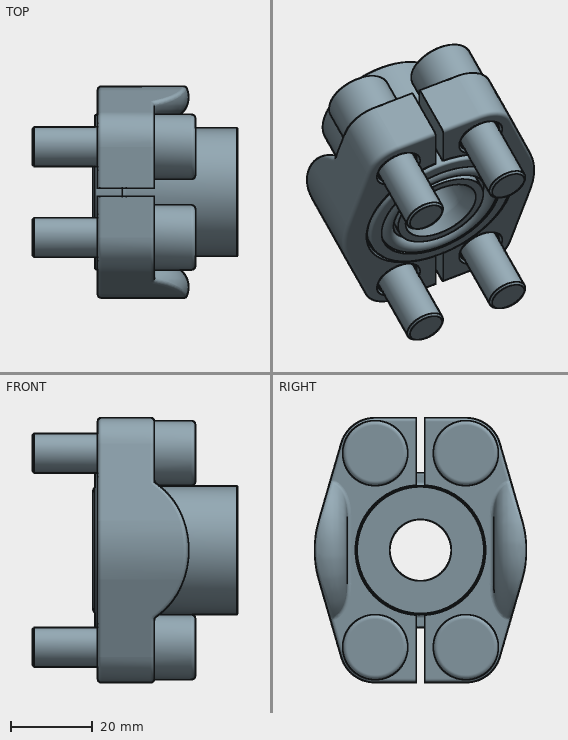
import cadquery as cq
import math


bolt_y = 11.1
bolt_z = 23.8

clamp_height = 65.0
clamp_width = 52.0
clamp_thickness = 14.0
rim_fillet = 1.0
split_gap = 2.0

shoulder_axis_x = 0.8
shoulder_radius = 21.65
shoulder_crest_y = 23.3
shoulder_round = 5.3
shoulder_foot_fillet = 1.0

disc_diameter = 38.1
disc_front_x = -0.65
disc_back_x = 6.1
disc_edge_fillet = 0.5
hub_diameter = 31.6
hub_end_x = 34.4
hub_end_chamfer = 0.25
neck_fillet = 0.9
bore_diameter = 15.0
bore_mouth_diameter = 19.05
bore_mouth_depth = 3.5
bore_mouth_fillet = 1.55

groove_outer_diameter = 32.0
groove_inner_diameter = 23.1
ring_front_x = -1.2
ring_middle_radius = 14.2
ring_section_radius = 1.75
ring_back_x = ring_front_x + 2 * ring_section_radius

recess_diameter = 38.6
recess_chamfer = 0.5
clamp_bore_diameter = 32.0
clamp_bore_chamfer = 1.0

shank_diameter = 9.75
tip_x = -16.0
tip_chamfer = 0.5
head_diameter = 16.0
head_length = 10.1
head_fillet = 1.1
bolt_hole_diameter = 10.5
bolt_hole_chamfer = 0.6

overrun = 0.65
tolerance = 0.005


def cylinder(diameter, x_start, x_end, y=0, z=0):
    """Cylinder along X between two X positions."""
    return (
        cq.Workplane("YZ", origin=(x_start, y, z))
        .circle(diameter / 2)
        .extrude(x_end - x_start)
    )


def bolt_centres():
    """The four (Y, Z) bolt positions."""
    return [(side * bolt_y, end * bolt_z) for side in (-1, 1) for end in (-1, 1)]


def clamp_outline():
    """Closed outline: side arcs about the pipe axis, joined by tangents to arcs about the bolts."""
    side_radius = clamp_width / 2
    half_height = clamp_height / 2
    corner_radius = half_height - bolt_z
    tangent_angle = math.atan2(bolt_z, bolt_y) - math.acos(
        (side_radius - corner_radius) / math.hypot(bolt_y, bolt_z)
    )
    corner_middle_angle = (tangent_angle + math.pi / 2) / 2

    side_y = side_radius * math.cos(tangent_angle)
    side_z = side_radius * math.sin(tangent_angle)
    corner_y = bolt_y + corner_radius * math.cos(tangent_angle)
    corner_z = bolt_z + corner_radius * math.sin(tangent_angle)
    middle_y = bolt_y + corner_radius * math.cos(corner_middle_angle)
    middle_z = bolt_z + corner_radius * math.sin(corner_middle_angle)

    return (
        cq.Workplane("YZ")
        .moveTo(side_y, -side_z)
        .threePointArc((side_radius, 0), (side_y, side_z))
        .lineTo(corner_y, corner_z)
        .threePointArc((middle_y, middle_z), (bolt_y, half_height))
        .lineTo(-bolt_y, half_height)
        .threePointArc((-middle_y, middle_z), (-corner_y, corner_z))
        .lineTo(-side_y, side_z)
        .threePointArc((-side_radius, 0), (-side_y, -side_z))
        .lineTo(-corner_y, -corner_z)
        .threePointArc((-middle_y, -middle_z), (-bolt_y, -half_height))
        .lineTo(bolt_y, -half_height)
        .threePointArc((middle_y, -middle_z), (corner_y, -corner_z))
        .close()
    )


def shoulder():
    """Turned shoulder on the +Y side, with a convex crest that falls away towards the hub."""
    crest_x = shoulder_axis_x + shoulder_radius
    inner_y = shoulder_crest_y - shoulder_round
    outer_y = clamp_width / 2 + overrun
    outer_rise = outer_y - shoulder_crest_y
    outer_x = crest_x - shoulder_round + math.sqrt(shoulder_round**2 - outer_rise**2)
    arc_middle_offset = shoulder_round * math.sqrt(0.5)
    arc_middle = (
        crest_x - shoulder_round + arc_middle_offset,
        shoulder_crest_y - arc_middle_offset,
    )
    return (
        cq.Workplane("XY")
        .moveTo(shoulder_axis_x, inner_y)
        .lineTo(crest_x - shoulder_round, inner_y)
        .threePointArc(arc_middle, (outer_x, outer_y))
        .lineTo(shoulder_axis_x, outer_y)
        .close()
        .revolve(360, (shoulder_axis_x, 0), (shoulder_axis_x, 1))
    )


def clamp_blank():
    """Undivided clamp with both shoulders, a fillet at their feet and a rounded outer rim."""
    plate = clamp_outline().extrude(clamp_thickness)
    envelope = clamp_outline().extrude(shoulder_axis_x + shoulder_radius + overrun)
    raised = shoulder().intersect(envelope)
    blank = plate.union(raised).union(raised.mirror("XZ"))

    def on_foot(edge):
        box = edge.BoundingBox()
        in_back_plane = abs(box.xmin - clamp_thickness) < tolerance and box.xlen < tolerance
        return in_back_plane and abs(edge.Center().z) < bolt_z / 2

    blank = blank.edges().filter(on_foot).fillet(shoulder_foot_fillet)

    outline = clamp_outline().wire().val()

    def on_rim(edge):
        middle = edge.positionAt(0.5)
        on_outline = outline.distance(cq.Vertex.makeVertex(0, middle.y, middle.z)) < tolerance
        start, end = edge.startPoint(), edge.endPoint()
        along_x = math.hypot(end.y - start.y, end.z - start.z) < tolerance
        return on_outline and not along_x

    rim = blank.edges().filter(on_rim)
    return rim.fillet(rim_fillet)


def clamp_opening():
    """Stepped hole for the hub, with a lead-in and room for the neck fillet."""
    recess_radius = recess_diameter / 2
    bore_radius = clamp_bore_diameter / 2
    return (
        cq.Workplane("XY")
        .moveTo(0, 0)
        .lineTo(0, recess_radius + recess_chamfer)
        .lineTo(recess_chamfer, recess_radius)
        .lineTo(disc_back_x, recess_radius)
        .lineTo(disc_back_x, bore_radius + clamp_bore_chamfer)
        .lineTo(disc_back_x + clamp_bore_chamfer, bore_radius)
        .lineTo(hub_end_x, bore_radius)
        .lineTo(hub_end_x, 0)
        .close()
        .revolve(360, (0, 0), (1, 0))
    )


def bolt_hole(y, z):
    """Through hole with a countersunk mouth on the front face."""
    hole = cylinder(bolt_hole_diameter, 0, clamp_thickness, y, z)
    mouth_diameter = bolt_hole_diameter + 2 * bolt_hole_chamfer
    mouth = cylinder(mouth_diameter, -bolt_hole_chamfer, bolt_hole_chamfer, y, z)
    return hole.union(mouth.faces(">X").chamfer(bolt_hole_chamfer))


def make_clamp_halves():
    """Two clamp halves, parted by a gap on the plane Y = 0."""
    clamp = clamp_blank().cut(clamp_opening())
    for y, z in bolt_centres():
        clamp = clamp.cut(bolt_hole(y, z))
    gap = cq.Workplane("XY").box(4 * clamp_thickness, split_gap, 2 * clamp_height)
    return clamp.cut(gap)


def make_hub():
    """Pipe with a front disc, a flared bore mouth and a groove for the seal ring."""
    disc = cylinder(disc_diameter, disc_front_x, disc_back_x).edges().fillet(disc_edge_fillet)
    pipe = cylinder(hub_diameter, disc_front_x, hub_end_x).faces(">X").chamfer(hub_end_chamfer)
    pipe_radius = hub_diameter / 2
    neck = (
        cq.Workplane("XY")
        .moveTo(disc_back_x, pipe_radius - neck_fillet)
        .lineTo(disc_back_x, pipe_radius + neck_fillet)
        .radiusArc((disc_back_x + neck_fillet, pipe_radius), -neck_fillet)
        .lineTo(disc_back_x + neck_fillet, pipe_radius - neck_fillet)
        .close()
        .revolve(360, (0, 0), (1, 0))
    )
    hub = disc.union(pipe).union(neck)
    hub = hub.cut(cylinder(bore_diameter, disc_front_x, hub_end_x))
    mouth = (
        cq.Workplane("XY")
        .moveTo(disc_front_x, 0)
        .lineTo(disc_front_x, bore_mouth_diameter / 2)
        .lineTo(disc_front_x + bore_mouth_depth, bore_diameter / 2)
        .lineTo(disc_front_x + bore_mouth_depth, 0)
        .close()
        .revolve(360, (0, 0), (1, 0))
    )
    hub = hub.cut(mouth)
    throat = cq.selectors.NearestToPointSelector((disc_front_x + bore_mouth_depth, 0, 0))
    hub = hub.edges(throat).fillet(bore_mouth_fillet)
    groove = cylinder(groove_outer_diameter, disc_front_x, ring_back_x).cut(
        cylinder(groove_inner_diameter, disc_front_x, ring_back_x)
    )
    return hub.cut(groove)


def make_seal_ring():
    """Round-section ring resting on the floor of the groove."""
    return (
        cq.Workplane("XY")
        .center(ring_front_x + ring_section_radius, ring_middle_radius)
        .circle(ring_section_radius)
        .revolve(360, (0, -ring_middle_radius), (1, -ring_middle_radius))
    )


def make_bolt(y, z):
    """Bolt pointing to -X, with its head seated on the back of the clamp."""
    shank = cylinder(shank_diameter, tip_x, clamp_thickness, y, z)
    shank = shank.faces("<X").chamfer(tip_chamfer)
    head = cylinder(head_diameter, clamp_thickness, clamp_thickness + head_length, y, z)
    return shank.union(head.faces(">X").edges().fillet(head_fillet))


clamp_halves = make_clamp_halves()
hub = make_hub()
seal_ring = make_seal_ring()
bolts = [make_bolt(y, z).val() for y, z in bolt_centres()]

result = cq.Compound.makeCompound([*clamp_halves.vals(), hub.val(), seal_ring.val(), *bolts])